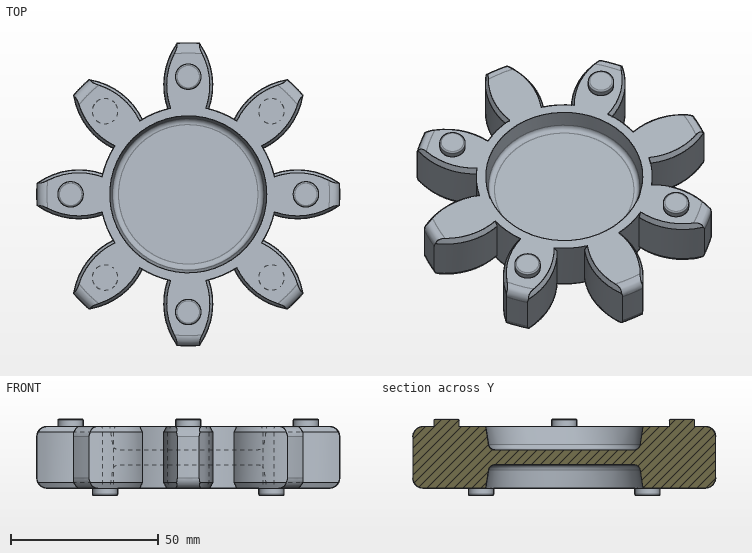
import cadquery as cq
import math


outer_radius = 51.5
body_height = 21.0
tooth_count = 8

hub_radius = 29.9
recess_rim_radius = 26.7
recess_floor_radius = 23.7
recess_fillet = 2.1
web_thickness = 5.2

tooth_half_width = 8.3
widest_at_radius = 37.1
flank_radius = 24.4
flank_chamfer_in = 1.0
flank_chamfer_height = 2.0
tip_fillet = 3.5

pin_circle_radius = 40.0
pin_radius = 4.3
pin_height = 2.5
pin_edge_fillet = 0.5

half_height = body_height / 2
tooth_pitch = 360 / tooth_count


def flank_barrel():
    """Upright cylinder with coned ends, whose side forms one flank of a tooth."""
    end_radius = flank_radius - flank_chamfer_in
    side_half_height = half_height - flank_chamfer_height
    profile = [
        (0, -half_height),
        (end_radius, -half_height),
        (flank_radius, -side_half_height),
        (flank_radius, side_half_height),
        (end_radius, half_height),
        (0, half_height),
    ]
    return cq.Workplane("XZ").polyline(profile).close().revolve(360, (0, 0), (0, 1))


def tooth_lens():
    """Overlap of two flank barrels, pointing along +X."""
    barrel_offset = flank_radius - tooth_half_width
    left_flank = flank_barrel().translate((widest_at_radius, -barrel_offset, 0))
    right_flank = flank_barrel().translate((widest_at_radius, barrel_offset, 0))
    return left_flank.intersect(right_flank)


def toothed_body():
    """Hub with all teeth, trimmed to a round envelope that has filleted rims."""
    envelope = cq.Workplane("XY").circle(outer_radius).extrude(half_height, both=True)
    envelope = envelope.faces("|Z").edges().fillet(tip_fillet)
    tooth = tooth_lens().intersect(envelope)
    body = cq.Workplane("XY").circle(hub_radius).extrude(half_height, both=True)
    for index in range(tooth_count):
        body = body.union(tooth.rotate((0, 0, 0), (0, 0, 1), index * tooth_pitch))
    return body


def recess():
    """Dished cutter for the upper recess: conical wall running tangent into a filleted floor."""
    floor_z = web_thickness / 2
    fillet_centre_z = floor_z + recess_fillet

    rim_run = recess_rim_radius - recess_floor_radius
    rim_rise = half_height - fillet_centre_z
    rim_distance = math.hypot(rim_run, rim_rise)
    tangent_angle = math.atan2(rim_rise, rim_run) - math.acos(recess_fillet / rim_distance)
    middle_angle = (tangent_angle - math.pi / 2) / 2

    def fillet_point(angle):
        return (
            recess_floor_radius + recess_fillet * math.cos(angle),
            fillet_centre_z + recess_fillet * math.sin(angle),
        )

    profile = (
        cq.Workplane("XZ")
        .moveTo(0, floor_z)
        .lineTo(recess_floor_radius, floor_z)
        .threePointArc(fillet_point(middle_angle), fillet_point(tangent_angle))
        .lineTo(recess_rim_radius, half_height)
        .lineTo(0, half_height)
        .close()
    )
    return profile.revolve(360, (0, 0), (0, 1))


def pin(top_side):
    """Pin on a tooth along +X, rising from the top face or hanging from the bottom face."""
    blank = cq.Workplane("XY").circle(pin_radius).extrude(half_height + pin_height)
    blank = blank.faces(">Z").edges().fillet(pin_edge_fillet)
    if not top_side:
        blank = blank.mirror("XY")
    return blank.translate((pin_circle_radius, 0, 0))


result = toothed_body()

upper_recess = recess()
result = result.cut(upper_recess).cut(upper_recess.mirror("XY"))

for tooth_index in range(tooth_count):
    tooth_pin = pin(top_side=tooth_index % 2 == 0)
    result = result.union(tooth_pin.rotate((0, 0, 0), (0, 0, 1), tooth_index * tooth_pitch))